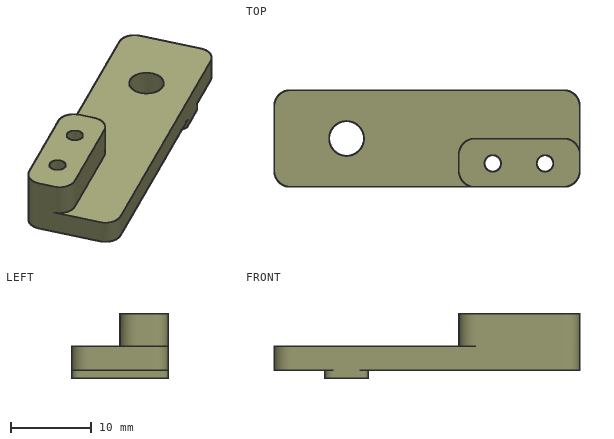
import cadquery as cq

length = 37.9
width = 12.0
plate_thickness = 3.0
corner_radius = 2.0

block_length = 15.0
block_width = width / 2
block_height = 4.0

rail_length = 5.42
rail_height = 1.0
rail_radius = 1.0

pivot_diameter = 4.3
pivot_x = 9.0
pin_diameter = 2.0
pin_spacing = 6.5
pin_end_distance = 4.32
pin_y = 2.92

total_height = rail_height + plate_thickness + block_height


def rounded_slab(x_min, y_min, z_min, size_x, size_y, size_z, radius):
    """Box placed by its lowest corner, with rounded vertical edges."""
    slab = cq.Workplane("XY").box(size_x, size_y, size_z, centered=False)
    return slab.edges("|Z").fillet(radius).translate((x_min, y_min, z_min))


def through_hole(x, y, diameter):
    """Cylinder spanning the full height of the part."""
    return cq.Workplane("XY").center(x, y).circle(diameter / 2).extrude(total_height)


plate = rounded_slab(0, 0, rail_height, length, width, plate_thickness, corner_radius)

block = rounded_slab(
    length - block_length, 0, rail_height + plate_thickness,
    block_length, block_width, block_height, corner_radius,
)

rail = rounded_slab(
    pivot_x - rail_length / 2, 0, 0,
    rail_length, width, rail_height, rail_radius,
)

result = plate.union(block).union(rail)

result = result.cut(through_hole(pivot_x, width / 2, pivot_diameter))

for pin_index in range(2):
    pin_x = length - pin_end_distance - pin_index * pin_spacing
    result = result.cut(through_hole(pin_x, pin_y, pin_diameter))